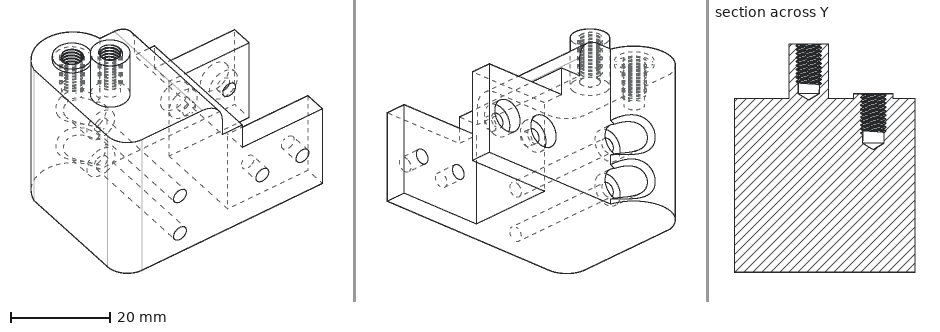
import cadquery as cq
import math

BODY_WIDTH = 30.0
BODY_DEPTH = 30.0
FRONT_CORNER_RADIUS = 5.0
STEP_TOP = 26.0
BODY_TOP = 35.0
STEP_DEPTH = 5.0
SHOULDER_RADIUS = 5.0

LOBE_REACH = 6.44
LOBE_CENTRE_X = 2.0
LOBE_RADIUS = LOBE_REACH + LOBE_CENTRE_X
LOBE_CENTRE_Y = math.sqrt(LOBE_RADIUS**2 - LOBE_CENTRE_X**2)

ARM_LENGTH = 20.0
ARM_THICKNESS = 5.0
ARM_HEIGHT = 20.0

PIN_DIAMETER = 8.0
PIN_Y = 8.0
SHORT_PIN_X = LOBE_CENTRE_X
SHORT_PIN_HEIGHT = 1.0
TALL_PIN_X = BODY_WIDTH / 2
TALL_PIN_HEIGHT = 11.0
BORE_DIAMETER = 4.22
BORE_DEPTH = 10.0
DRILL_TIP_ANGLE = 118.0

THREAD_PITCH = 0.8
THREAD_MAJOR_DIAMETER = 5.0
THREAD_FLANK_ANGLE = 30.0
THREAD_ROOT_FLAT = 0.1
THREAD_LENGTH = 10 * THREAD_PITCH
THREAD_RUNOUT = 0.5
THREAD_OVERLAP = 0.1
SHORT_PIN_THREAD_START = -15.0
TALL_PIN_THREAD_START = SHORT_PIN_THREAD_START + 180.0
BORE_SEAM_OFFSET = 90.0

SCREW_DIAMETER = 3.2
SCREW_HEAD_DIAMETER = 7.0
COUNTERBORE_DEPTH = 3.0
ARM_SCREW_SPACING = 10.0
ARM_SCREW_END_DISTANCE = 5.0
ARM_SCREW_COUNT = 2
BODY_SCREW_Y = 14.44
BODY_SCREW_HEIGHTS = (5.0, 15.0)
LOBE_CHAMFER = 1.0

REAR_Y = BODY_DEPTH + ARM_LENGTH


def make_plan(height):
    """Block with the lobe and the rounded front right corner, standing on Z = 0."""
    return (
        cq.Workplane("XY")
        .moveTo(0, 0)
        .lineTo(BODY_WIDTH - FRONT_CORNER_RADIUS, 0)
        .radiusArc((BODY_WIDTH, FRONT_CORNER_RADIUS), -FRONT_CORNER_RADIUS)
        .lineTo(BODY_WIDTH, BODY_DEPTH)
        .lineTo(0, BODY_DEPTH)
        .lineTo(0, 2 * LOBE_CENTRE_Y)
        .threePointArc((-LOBE_REACH, LOBE_CENTRE_Y), (0, 0))
        .close()
        .extrude(height)
    )


def make_body():
    """Full-height body with the stepped and rounded rear shoulder."""
    shoulder_y = BODY_DEPTH - STEP_DEPTH
    shoulder_cut = (
        cq.Workplane("YZ")
        .moveTo(BODY_DEPTH, STEP_TOP)
        .lineTo(shoulder_y, STEP_TOP)
        .lineTo(shoulder_y, BODY_TOP - SHOULDER_RADIUS)
        .radiusArc((shoulder_y - SHOULDER_RADIUS, BODY_TOP), -SHOULDER_RADIUS)
        .lineTo(BODY_DEPTH, BODY_TOP)
        .close()
        .extrude(BODY_WIDTH)
    )
    return make_plan(BODY_TOP).cut(shoulder_cut)


def make_arm(left_x):
    """Plain arm running back from the rear face."""
    arm = cq.Workplane("XY").box(ARM_THICKNESS, ARM_LENGTH, ARM_HEIGHT, centered=False)
    return arm.translate((left_x, BODY_DEPTH, 0))


def make_pin(x, height):
    """Round pin on the top face."""
    return cq.Workplane("XY", origin=(x, PIN_Y, BODY_TOP)).circle(PIN_DIAMETER / 2).extrude(height)


def make_cylinder_x(diameter, start_x, end_x, y, z):
    """Cylinder along X between two X positions."""
    plane = cq.Workplane("YZ", origin=(start_x, y, z))
    return plane.circle(diameter / 2).extrude(end_x - start_x)


def make_screw_hole(y, z):
    """Through hole with a counterbore that also clears the lobe."""
    shank = make_cylinder_x(SCREW_DIAMETER, 0, BODY_WIDTH, y, z)
    head = make_cylinder_x(SCREW_HEAD_DIAMETER, -LOBE_REACH, COUNTERBORE_DEPTH, y, z)
    return shank.union(head)


def make_bore():
    """Drilled bore with a conical end, mouth at the origin and running down."""
    radius = BORE_DIAMETER / 2
    tip = radius / math.tan(math.radians(DRILL_TIP_ANGLE / 2))
    return (
        cq.Workplane("XZ")
        .polyline([(0, 0), (radius, 0), (radius, -BORE_DEPTH), (0, -BORE_DEPTH - tip)])
        .close()
        .revolve(360, (0, 0, 0), (0, 1, 0))
    )


def make_thread_groove():
    """Helical groove around the bore wall, crossing the mouth plane on the +X side."""
    inner = BORE_DIAMETER / 2 - THREAD_OVERLAP
    root = THREAD_MAJOR_DIAMETER / 2
    half_root = THREAD_ROOT_FLAT / 2
    half_mouth = half_root + (root - inner) * math.tan(math.radians(THREAD_FLANK_ANGLE))
    helix = cq.Wire.makeHelix(THREAD_PITCH, THREAD_LENGTH + THREAD_RUNOUT, BORE_DIAMETER / 2)
    return (
        cq.Workplane("XZ")
        .polyline([(inner, -half_mouth), (root, -half_root), (root, half_root), (inner, half_mouth)])
        .close()
        .sweep(cq.Workplane(obj=helix), isFrenet=True)
        .translate((0, 0, -THREAD_LENGTH))
    )


def cut_threaded_bore(part, x, mouth_z, start_angle):
    """Cut the groove first and then the bore, whose seam is kept off the groove's ends."""
    groove = make_thread_groove().rotate((0, 0, 0), (0, 0, 1), start_angle)
    bore = make_bore().rotate((0, 0, 0), (0, 0, 1), start_angle - BORE_SEAM_OFFSET)
    mouth = (x, PIN_Y, mouth_z)
    return part.cut(groove.translate(mouth)).cut(bore.translate(mouth))


def chamfer_lobe_mouths(part):
    """Chamfer the curved edges where the body counterbores leave the lobe."""
    flat_edge_types = ("LINE", "CIRCLE")
    mouth_edges = [edge for edge in part.edges().vals() if edge.geomType() not in flat_edge_types]
    return part.newObject(mouth_edges).chamfer(LOBE_CHAMFER)


result = make_body()
for arm_x in (0, BODY_WIDTH - ARM_THICKNESS):
    result = result.union(make_arm(arm_x))

for index in range(ARM_SCREW_COUNT):
    screw_y = REAR_Y - ARM_SCREW_END_DISTANCE - index * ARM_SCREW_SPACING
    result = result.cut(make_screw_hole(screw_y, ARM_HEIGHT / 2))
for screw_z in BODY_SCREW_HEIGHTS:
    result = result.cut(make_screw_hole(BODY_SCREW_Y, screw_z))
result = chamfer_lobe_mouths(result)

pins = (
    (SHORT_PIN_X, SHORT_PIN_HEIGHT, SHORT_PIN_THREAD_START),
    (TALL_PIN_X, TALL_PIN_HEIGHT, TALL_PIN_THREAD_START),
)
for pin_x, pin_height, thread_start in pins:
    result = result.union(make_pin(pin_x, pin_height))
    result = cut_threaded_bore(result, pin_x, BODY_TOP + pin_height, thread_start)